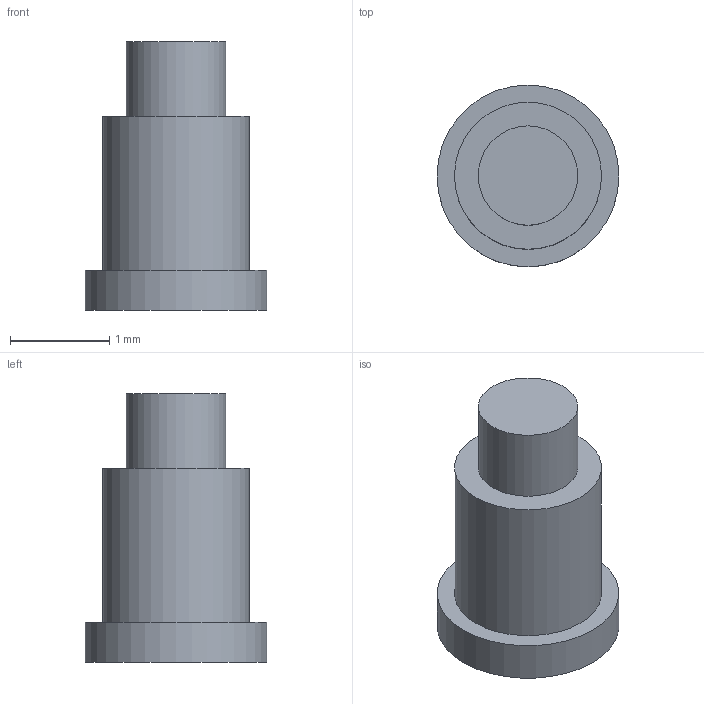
import cadquery as cq

flange_diameter = 1.83
flange_height = 0.40
body_diameter = 1.48
body_height = 1.55
plunger_diameter = 1.00
plunger_height = 0.75


def add_cylinder_on_top(part, diameter, height):
    """Stack a coaxial cylinder on the top face of the part."""
    return part.faces(">Z").workplane().circle(diameter / 2).extrude(height)


flange = cq.Workplane("XY").circle(flange_diameter / 2).extrude(flange_height)

barrel = add_cylinder_on_top(flange, body_diameter, body_height)
result = add_cylinder_on_top(barrel, plunger_diameter, plunger_height)